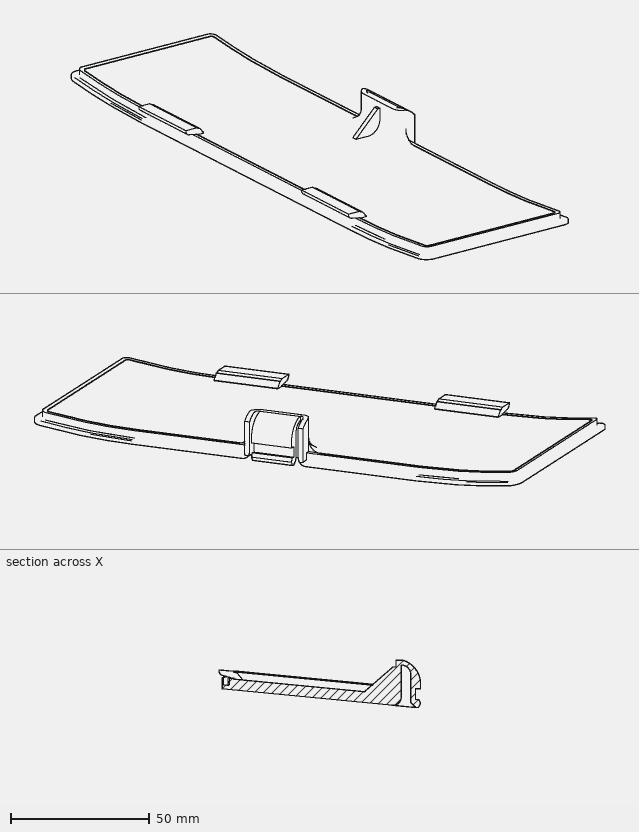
import cadquery as cq
import math

tilt = 5.5
length = 200.0
width = 70.0
corner_radius = 4.0
flange_thickness = 1.5
panel_thickness = 4.2
edge_round = 0.5
rim_inset = 2.5
rim_width = 1.5
rim_corner = 2.5
rim_height = 0.2
flat_half = 58.5
curl_radius = 280.0

hook_length = 26.2
hook_overhang = 2.0
hook_height = 2.5
hook_nose_radius = 2.0
hook_ramp_foot = 6.8
hook_ramp_top = 3.2
hook_step = 0.5
hook_heel = 0.2
hook_lower_rise = 2.0

latch_top = 13.8
latch_width = 24.0
latch_wall = 2.0
latch_front = 27.8
latch_rear = width / 2
latch_corner = 4.0
base_blend = 5.0
rounded_top_start = 30.5
run_off = 16.0
block_bottom = -2.0

tongue_width = 16.5
tongue_thickness = 1.8
tongue_shoulder = (35.0, 10.5)
catch_rear = 36.8
catch_bottom = 3.5
catch_height = 1.2
nose_top = -0.5
nose_rear = 36.2
nose_round = 0.5

rib_width = 1.8
rib_drop = 2.5
rib_ledge = 1.0
rib_reach = 11.5
rib_foot = 2.2
rib_root = 0.5

floor_height = panel_thickness - rim_height
notch_front = latch_front + latch_wall
notch_width = latch_width - 2 * latch_wall
notch_corner = latch_corner - latch_wall
under_radius = base_blend - latch_wall
catch_tip = (catch_rear, catch_bottom + catch_height)
rib_top = latch_top - rib_drop
rim_inner_rear = width / 2 - rim_inset - rim_width
latch_bottom = -width / 2 * math.tan(math.radians(tilt))


def tilted(shape):
    return shape.rotate((0, 0, 0), (1, 0, 0), -tilt)


def curled_slab(bottom, top):
    """Slab between two heights, flat in the middle and curled up at both ends."""
    sweep = 0.2

    def arc_point(height, angle, side):
        radius = curl_radius - height
        return (side * (flat_half + radius * math.sin(angle)), curl_radius - radius * math.cos(angle))

    return (
        cq.Workplane("XZ")
        .moveTo(-flat_half, bottom)
        .lineTo(flat_half, bottom)
        .threePointArc(arc_point(bottom, sweep / 2, 1), arc_point(bottom, sweep, 1))
        .lineTo(*arc_point(top, sweep, 1))
        .threePointArc(arc_point(top, sweep / 2, 1), (flat_half, top))
        .lineTo(-flat_half, top)
        .threePointArc(arc_point(top, sweep / 2, -1), arc_point(top, sweep, -1))
        .lineTo(*arc_point(bottom, sweep, -1))
        .threePointArc(arc_point(bottom, sweep / 2, -1), (-flat_half, bottom))
        .close()
        .extrude(width, both=True)
    )


def outline(inset, radius):
    """Upright rounded rectangle, inset from the panel outline."""
    block = cq.Workplane("XY").box(length - 2 * inset, width - 2 * inset, 4 * latch_top)
    return block.edges("|Z").fillet(radius)


def height_on_panel(point):
    """Height of a point above the underside of the tilted, curled panel."""
    angle = math.radians(tilt)
    flat_height = point.y * math.sin(angle) + point.z * math.cos(angle)
    past_flat = max(0, abs(point.x) - flat_half)
    return flat_height - curl_radius + math.sqrt(curl_radius**2 - past_flat**2)


def is_ledge_border(edge):
    """True for the outer and inner borders of the flange ledge, not for its creases."""
    middle = edge.Center()
    at_crease = abs(abs(middle.x) - flat_half) < edge_round
    return abs(height_on_panel(middle) - flange_thickness) < edge_round and not at_crease


def panel():
    flange = tilted(curled_slab(0, flange_thickness)).intersect(outline(0, corner_radius))
    raised = tilted(curled_slab(0, panel_thickness)).intersect(outline(rim_inset, rim_corner))
    recess = tilted(curled_slab(floor_height, 2 * panel_thickness))
    recess = recess.intersect(outline(rim_inset + rim_width, rim_corner / 2))
    stepped = flange.union(raised)
    return stepped.edges().filter(is_ledge_border).fillet(edge_round).cut(recess)


def hook(start):
    """Hinge hook hanging over the front edge, running along +X from start."""
    edge = -width / 2
    tip = edge - hook_overhang
    top = panel_thickness + hook_height
    step_rear = edge + hook_ramp_foot - hook_lower_rise
    step_height = floor_height + hook_heel + hook_lower_rise
    nose_middle = hook_nose_radius * math.sqrt(0.5)
    nose_centre = tip + hook_nose_radius
    root = floor_height - rim_height
    root_front = edge + rim_inset + rim_width / 2
    profile = (
        cq.Workplane("YZ", origin=(start, 0, 0))
        .moveTo(edge + hook_ramp_foot, floor_height + hook_heel)
        .lineTo(step_rear, step_height)
        .lineTo(step_rear - hook_step, step_height)
        .lineTo(edge + hook_ramp_top, top)
        .lineTo(tip, top)
        .threePointArc((nose_centre - nose_middle, top - nose_middle), (nose_centre, top - hook_nose_radius))
        .lineTo(root_front, panel_thickness)
        .lineTo(root_front, root)
        .lineTo(edge + hook_ramp_foot, root)
        .close()
    )
    return tilted(profile.extrude(hook_length))


def rear_block(block_width, front, bottom, top, radius):
    """Upright block running off the rear edge, with its front corners rounded."""
    return (
        cq.Workplane("XY", origin=(0, front + run_off / 2, bottom))
        .rect(block_width, run_off)
        .extrude(top - bottom)
        .edges("|Z and <Y")
        .fillet(radius)
    )


def latch_block():
    """Solid upright block, hollowed later by the notch to leave the latch walls."""
    rear_limit = cq.Workplane("XY").box(length, 2 * latch_rear, 4 * latch_top)
    block = rear_block(latch_width, latch_front, block_bottom, latch_top, latch_corner)
    return block.intersect(rear_limit)


def flared_block(block, slab_bottom, slab_top, radius):
    """Upright block standing on a slab parallel to the panel, with a fillet round its foot."""
    slab = cq.Workplane("XY").box(length / 2, 2 * width, slab_top - slab_bottom)
    slab = tilted(slab.translate((0, 0, (slab_bottom + slab_top) / 2)))
    foot_drop = latch_front * math.tan(math.radians(tilt))
    margin = 0.2
    foot = cq.selectors.BoxSelector(
        (-latch_width, latch_front - margin, slab_top - 2 * foot_drop),
        (latch_width, latch_front + run_off - margin, slab_top - foot_drop / 2),
    )
    return slab.union(block).edges(foot).fillet(radius)


def blended_base():
    """Floor around the latch, swept up into the walls; it ends flat at the rim."""
    block = rear_block(latch_width, latch_front, block_bottom, latch_top, latch_corner)
    kept = cq.Workplane("XY").box(2 * latch_width, 2 * rim_inner_rear, 4 * latch_top)
    return flared_block(block, 0, floor_height, base_blend).intersect(kept)


def notch():
    """Cut between the latch walls, flared where it meets the underside."""
    block = rear_block(notch_width, notch_front, -1.5 * panel_thickness, 2 * latch_top, notch_corner)
    return flared_block(block, -2 * panel_thickness, 0, under_radius)


def above_rounded_top():
    """Space above and behind the rolled top of the latch."""
    return (
        cq.Workplane("YZ", origin=(-latch_width, 0, 0))
        .moveTo(rounded_top_start, latch_top)
        .threePointArc(tongue_shoulder, catch_tip)
        .lineTo(catch_rear, latch_top)
        .close()
        .extrude(2 * latch_width)
    )


def tongue():
    """Spring tongue rolling over from the top of the wall, with a catch and a finger nose behind."""
    root = latch_front + latch_wall / 2
    arm_rear = latch_rear
    arm_front = arm_rear - tongue_thickness
    inner_top = latch_top - tongue_thickness
    inner_round = arm_front - notch_front
    shoulder_offset = inner_round * math.sqrt(0.5)
    inner_centre = inner_top - inner_round
    return (
        cq.Workplane("YZ", origin=(-tongue_width / 2, 0, 0))
        .moveTo(root, latch_top)
        .lineTo(rounded_top_start, latch_top)
        .threePointArc(tongue_shoulder, catch_tip)
        .lineTo(catch_rear, catch_bottom)
        .lineTo(arm_rear, catch_bottom)
        .lineTo(arm_rear, nose_top)
        .lineTo(nose_rear, nose_top)
        .lineTo(catch_rear, (nose_top + latch_bottom) / 2)
        .lineTo(nose_rear, latch_bottom + nose_round)
        .lineTo(nose_rear - nose_round, latch_bottom)
        .lineTo(arm_rear, latch_bottom)
        .lineTo(arm_front, latch_bottom + tongue_thickness)
        .lineTo(arm_front, inner_centre)
        .threePointArc(
            (notch_front + shoulder_offset, inner_centre + shoulder_offset),
            (notch_front, inner_top),
        )
        .lineTo(root, inner_top)
        .close()
        .extrude(tongue_width)
    )


def rib():
    """Sloping rib bracing the front of the latch wall."""
    wall_middle = latch_front + latch_wall / 2
    return (
        cq.Workplane("YZ", origin=(-rib_width / 2, 0, 0))
        .moveTo(wall_middle, rib_top)
        .lineTo(latch_front - rib_ledge, rib_top)
        .lineTo(latch_front - rib_reach, rib_foot)
        .lineTo(latch_front - rib_reach, rib_root)
        .lineTo(wall_middle, rib_root)
        .close()
        .extrude(rib_width)
    )


body = panel().union(latch_block()).union(blended_base())
for hook_start in (-flat_half, flat_half - hook_length):
    body = body.union(hook(hook_start))
body = body.cut(above_rounded_top()).cut(notch())
result = body.union(rib()).union(tongue())